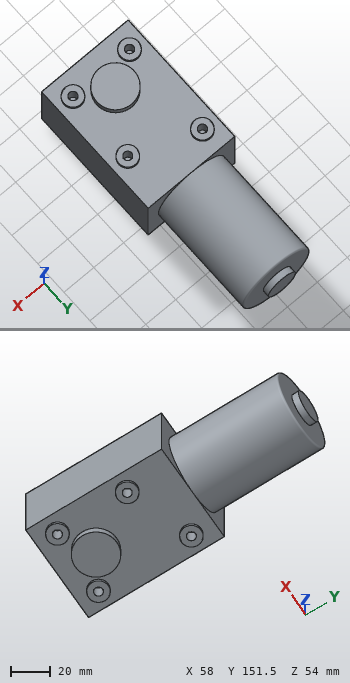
import cadquery as cq

box_width = 58.0
box_length = 82.0
box_height = 44.2

total_length = 151.5
motor_diameter = 44.2
motor_edge_fillet = 1.0
rear_boss_diameter = 18.2
rear_boss_length = 4.0
motor_length = total_length - box_length - rear_boss_length

total_height = 54.0
output_boss_diameter = 25.0
output_boss_y = 23.5

pad_diameter = 12.0
pad_height = 2.0
hole_diameter = 5.0
hole_depth = 10.0
pad_x = 19.0
pad_front_y = 12.5
pad_right_rear_y = 54.7
pad_left_rear_y = 68.6
pad_centers = [
    (-pad_x, pad_front_y),
    (pad_x, pad_front_y),
    (pad_x, pad_right_rear_y),
    (-pad_x, pad_left_rear_y),
]


def vertical_cylinders(centers, diameter, height):
    """Z-axis cylinders centred on the mid-plane of the housing."""
    return (
        cq.Workplane("XY")
        .pushPoints(centers)
        .circle(diameter / 2)
        .extrude(height / 2, both=True)
    )


def rear_cylinder(start_y, diameter, length):
    """Cylinder on the motor axis, running toward +Y."""
    return (
        cq.Workplane("XZ", origin=(0, start_y, 0))
        .circle(diameter / 2)
        .extrude(-length)
    )


housing = cq.Workplane("XY").box(
    box_width, box_length, box_height, centered=(True, False, True)
)
motor = rear_cylinder(box_length, motor_diameter, motor_length)
motor = motor.faces(">Y").edges().fillet(motor_edge_fillet)
rear_boss = rear_cylinder(box_length + motor_length, rear_boss_diameter, rear_boss_length)

pads_span = box_height + 2 * pad_height
output_bosses = vertical_cylinders([(0, output_boss_y)], output_boss_diameter, total_height)
pads = vertical_cylinders(pad_centers, pad_diameter, pads_span)

hole_core_span = pads_span - 2 * hole_depth
screw_holes = vertical_cylinders(pad_centers, hole_diameter, pads_span).cut(
    vertical_cylinders(pad_centers, hole_diameter, hole_core_span)
)

result = housing.union(motor).union(rear_boss).union(output_bosses).union(pads).cut(screw_holes)